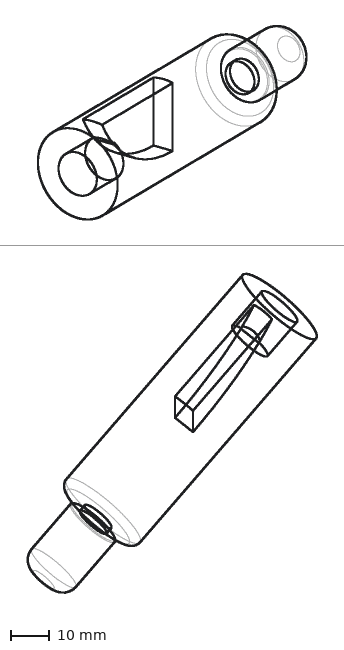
import cadquery as cq
import math

total_length = 95.0
body_diameter = 25.0
body_fillet = 2.0

neck_diameter = 9.0
neck_length = 2.0
pin_diameter = 15.0
pin_length = 19.95
pin_tip_fillet = 4.0
pin_rear_fillet = 0.3

bore_diameter = 12.0
bore_depth = 12.0

slot_width = 6.0
slot_near_end = 6.5
slot_far_end = 38.5
slot_floor_radius = 36.0

body_radius = body_diameter / 2
body_length = total_length - neck_length - pin_length


def cylinder_along_y(diameter, length, start=0.0):
    """Solid cylinder on the Y axis running from start toward +Y."""
    plane = cq.Plane(origin=(0, start, 0), xDir=(1, 0, 0), normal=(0, 1, 0))
    return cq.Workplane(plane).circle(diameter / 2).extrude(length)


def make_slot():
    """Slot cutter whose floor rises along an arc to the top of the body."""
    slot_length = slot_far_end - slot_near_end
    center_z = body_radius + math.sqrt(slot_floor_radius**2 - slot_length**2)
    mid_angle = math.asin(slot_length / slot_floor_radius) / 2
    mid_point = (
        slot_far_end - slot_floor_radius * math.sin(mid_angle),
        center_z - slot_floor_radius * math.cos(mid_angle),
    )
    return (
        cq.Workplane("YZ")
        .moveTo(slot_near_end, body_radius)
        .threePointArc(mid_point, (slot_far_end, center_z - slot_floor_radius))
        .lineTo(slot_far_end, body_radius)
        .close()
        .extrude(slot_width / 2, both=True)
    )


body = cylinder_along_y(body_diameter, body_length).faces(">Y").edges().fillet(body_fillet)
neck = cylinder_along_y(neck_diameter, neck_length, body_length)
pin = (
    cylinder_along_y(pin_diameter, pin_length, body_length + neck_length)
    .faces(">Y").edges().fillet(pin_tip_fillet)
    .faces("<Y").edges().fillet(pin_rear_fillet)
)
bore = cylinder_along_y(bore_diameter, bore_depth)

result = body.union(neck).union(pin).cut(bore).cut(make_slot())